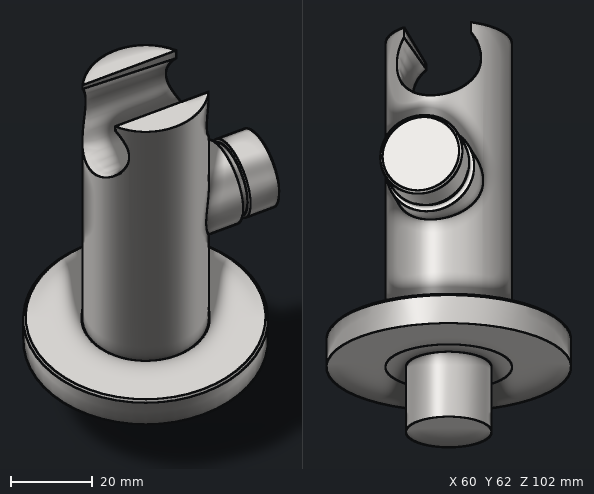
import cadquery as cq

FLANGE_DIAMETER = 60.0
FLANGE_THICKNESS = 8.0
FLANGE_CHAMFER = 0.6
FLANGE_CLEARANCE = 0.2
CLEARANCE_DEPTH = 0.5

TOTAL_HEIGHT = 102.0
COLUMN_DIAMETER = 31.0
SPIGOT_DIAMETER = 21.0
SPIGOT_LENGTH = 17.0

CRADLE_FRONT_RADIUS = 11.4
CRADLE_BACK_RADIUS = 10.4
CRADLE_DEPTH = 9.0
SLOT_WIDTH = 16.7

OUTLET_DEPTH = 41.0
COLLAR_DIAMETER = 22.0
COLLAR_END = 21.2
NECK_DIAMETER = 18.8
NECK_LENGTH = 2.0
NOZZLE_DIAMETER = 20.6
NOZZLE_END = 32.0
NOZZLE_CHAMFER_AXIAL = 0.4
NOZZLE_CHAMFER_RADIAL = 0.7

column_radius = COLUMN_DIAMETER / 2
flange_top = SPIGOT_LENGTH + FLANGE_THICKNESS
cradle_z = TOTAL_HEIGHT - CRADLE_DEPTH
outlet_z = TOTAL_HEIGHT - OUTLET_DEPTH


def cylinder_along_y(diameter, start_y, end_y):
    """Cylinder on the outlet axis between two Y positions."""
    return (
        cq.Workplane("XZ", origin=(0, start_y, outlet_z))
        .circle(diameter / 2)
        .extrude(start_y - end_y)
    )


def make_cradle_cutter():
    """Tapered bore, wider at the front, with a straight slot up to the column top."""
    bore = cq.Workplane(
        cq.Solid.makeCone(
            CRADLE_FRONT_RADIUS,
            CRADLE_BACK_RADIUS,
            COLUMN_DIAMETER,
            pnt=cq.Vector(0, -column_radius, cradle_z),
            dir=cq.Vector(0, 1, 0),
        )
    )
    slot = cq.Workplane("XY", origin=(0, 0, cradle_z)).box(
        SLOT_WIDTH, COLUMN_DIAMETER, CRADLE_DEPTH, centered=(True, True, False)
    )
    return bore.union(slot)


def make_column():
    """Spigot, column and outlet collar in one piece, with the cradle cut in the top."""
    spigot = cq.Workplane("XY").circle(SPIGOT_DIAMETER / 2).extrude(SPIGOT_LENGTH)
    shaft = (
        cq.Workplane("XY", origin=(0, 0, SPIGOT_LENGTH))
        .circle(column_radius)
        .extrude(TOTAL_HEIGHT - SPIGOT_LENGTH)
    )
    collar = cylinder_along_y(COLLAR_DIAMETER, 0, COLLAR_END)
    return spigot.union(shaft).union(collar).cut(make_cradle_cutter())


def make_flange():
    """Ring that fits the column, with a chamfered rim and a relieved top of the hole."""
    disc = (
        cq.Workplane("XY", origin=(0, 0, SPIGOT_LENGTH))
        .circle(FLANGE_DIAMETER / 2)
        .extrude(FLANGE_THICKNESS)
        .faces(">Z")
        .chamfer(FLANGE_CHAMFER)
    )
    relief = (
        cq.Workplane("XY", origin=(0, 0, flange_top))
        .circle(column_radius + FLANGE_CLEARANCE)
        .extrude(-CLEARANCE_DEPTH)
    )
    hole = (
        cq.Workplane("XY", origin=(0, 0, SPIGOT_LENGTH))
        .circle(column_radius)
        .extrude(FLANGE_THICKNESS)
    )
    return disc.cut(hole).cut(relief)


def make_nozzle():
    """Narrow neck and a wider end with both rims chamfered, turned about the outlet axis."""
    end_start = COLLAR_END + NECK_LENGTH
    neck_radius = NECK_DIAMETER / 2
    end_radius = NOZZLE_DIAMETER / 2
    rim_radius = end_radius - NOZZLE_CHAMFER_RADIAL
    return (
        cq.Workplane("XY", origin=(0, 0, outlet_z))
        .moveTo(0, COLLAR_END)
        .lineTo(neck_radius, COLLAR_END)
        .lineTo(neck_radius, end_start)
        .lineTo(rim_radius, end_start)
        .lineTo(end_radius, end_start + NOZZLE_CHAMFER_AXIAL)
        .lineTo(end_radius, NOZZLE_END - NOZZLE_CHAMFER_AXIAL)
        .lineTo(rim_radius, NOZZLE_END)
        .lineTo(0, NOZZLE_END)
        .close()
        .revolve(360, (0, 0, 0), (0, 1, 0))
    )


column = make_column()
flange = make_flange()
nozzle = make_nozzle()

result = cq.Compound.makeCompound([column.val(), flange.val(), nozzle.val()])